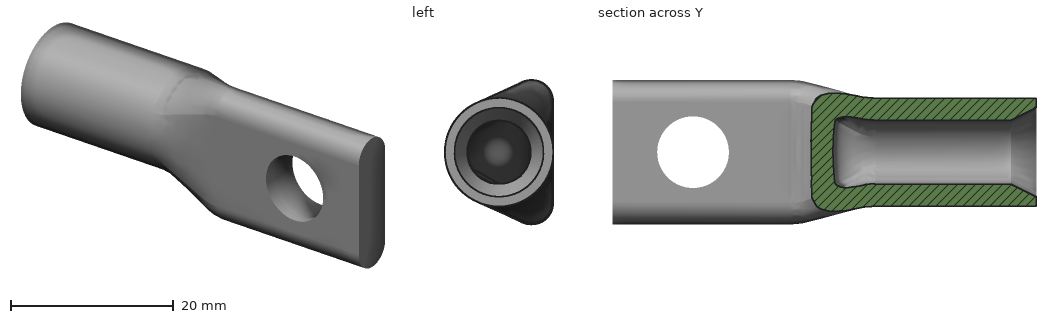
import cadquery as cq
import math

LENGTH = 52.05
BARREL_DIAMETER = 13.35
BARREL_LENGTH = 19.8
PALM_START = 30.2
PALM_THICKNESS = 5.35
PALM_WIDTH = 17.75

HOLE_DIAMETER = 8.8
HOLE_X = 42.2

BORE_DIAMETER = 7.8
MOUTH_DIAMETER = 10.95
MOUTH_DEPTH = 3.1
SLIT_THICKNESS = 0.1

SEAM_ANGLE = 29.0
EASE = 0.22
STATIONS = (0.0, 0.1, 0.2, 0.35, 0.5, 0.65, 0.8, 0.9, 1.0)

BARREL_RADIUS = BARREL_DIAMETER / 2
PALM_Y = PALM_THICKNESS / 2 - BARREL_RADIUS
PALM_FLAT = PALM_WIDTH - PALM_THICKNESS


def eased(t):
    """Ramp from 0 to 1 with a straight middle and parabolic ends."""
    slope = 1 / (1 - EASE)
    if t < EASE:
        return slope * t**2 / (2 * EASE)
    if t > 1 - EASE:
        return 1 - slope * (1 - t) ** 2 / (2 * EASE)
    return slope * (t - EASE / 2)


def circle_points(radius):
    """Seam points and arc midpoints around a circle, as (y, z), starting at the lower -Y seam."""
    seam_y = radius * math.cos(math.radians(SEAM_ANGLE))
    seam_z = radius * math.sin(math.radians(SEAM_ANGLE))
    return [
        (-seam_y, -seam_z), (-radius, 0), (-seam_y, seam_z), (0, radius),
        (seam_y, seam_z), (radius, 0), (seam_y, -seam_z), (0, -radius),
    ]


def slot_points(thickness):
    """Matching points around a round-ended slot on the palm's middle plane."""
    half = thickness / 2
    flat = PALM_FLAT / 2
    near = PALM_Y - half
    far = PALM_Y + half
    return [
        (near, -flat), (near, 0), (near, flat), (PALM_Y, flat + half),
        (far, flat), (far, 0), (far, -flat), (PALM_Y, -flat - half),
    ]


def section(t, radius, thickness):
    """Outline at fraction t of the way from the barrel circle to the palm slot."""
    blend = eased(t)
    x = BARREL_LENGTH + t * (PALM_START - BARREL_LENGTH)
    points = [
        cq.Vector(x, y0 + blend * (y1 - y0), z0 + blend * (z1 - z0))
        for (y0, z0), (y1, z1) in zip(circle_points(radius), slot_points(thickness))
    ]
    edges = []
    for i in range(0, len(points), 2):
        start, middle, end = points[i], points[i + 1], points[(i + 2) % len(points)]
        is_flat = t == 1 and i % 4 == 0
        if is_flat:
            edges.append(cq.Edge.makeLine(start, end))
        else:
            edges.append(cq.Edge.makeThreePointArc(start, middle, end))
    return cq.Wire.assembleEdges(edges)


def transition(radius, thickness):
    return cq.Solid.makeLoft([section(t, radius, thickness) for t in STATIONS])


barrel = cq.Workplane("YZ").circle(BARREL_RADIUS).extrude(BARREL_LENGTH)
palm = (
    cq.Workplane("YZ", origin=(PALM_START, PALM_Y, 0))
    .slot2D(PALM_WIDTH, PALM_THICKNESS, 90)
    .extrude(LENGTH - PALM_START)
)
body = barrel.union(transition(BARREL_RADIUS, PALM_THICKNESS)).union(palm)

bore = cq.Workplane("YZ").circle(BORE_DIAMETER / 2).extrude(BARREL_LENGTH)
mouth = cq.Solid.makeCone(
    MOUTH_DIAMETER / 2, BORE_DIAMETER / 2, MOUTH_DEPTH, cq.Vector(0, 0, 0), cq.Vector(1, 0, 0)
)
cavity = bore.union(mouth).union(transition(BORE_DIAMETER / 2, SLIT_THICKNESS))

hole = (
    cq.Workplane("XZ", origin=(HOLE_X, 0, 0))
    .circle(HOLE_DIAMETER / 2)
    .extrude(BARREL_DIAMETER, both=True)
)

result = body.cut(cavity).cut(hole)